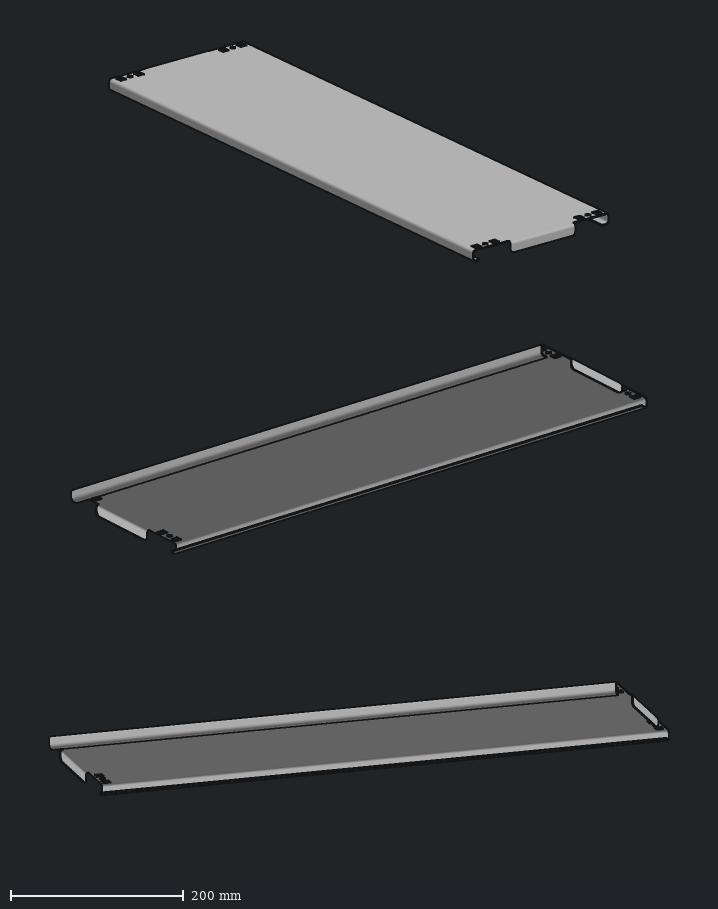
import cadquery as cq

LENGTH = 699.0
WIDTH = 200.0
HEIGHT = 15.0

THICKNESS = 1.55
BEND_RADIUS = 4.0
INNER_RADIUS = BEND_RADIUS - THICKNESS
LIP_WIDTH = 10.5

TAB_WIDTH = 95.0
TAB_CORNER_RADIUS = 5.5
PANEL_LENGTH = LENGTH - 2 * BEND_RADIUS

HOLE_INSET = 8.5
SQUARE_SIZE = 8.5
OUTER_SQUARE_Y = 88.0
INNER_SQUARE_Y = 62.0
ROUND_HOLE_Y = (OUTER_SQUARE_Y + INNER_SQUARE_Y) / 2
ROUND_HOLE_DIAMETER = 6.0


def make_channel():
    """Panel with both long sides folded down and returned inward."""
    inner_width = WIDTH - 2 * THICKNESS
    inner_height = HEIGHT - 2 * THICKNESS
    mid_height = HEIGHT / 2
    lip_opening = WIDTH - 2 * LIP_WIDTH

    outside = (
        cq.Workplane("XY")
        .box(PANEL_LENGTH, WIDTH, HEIGHT)
        .edges("|X")
        .fillet(BEND_RADIUS)
    )
    inside = (
        cq.Workplane("XY")
        .box(PANEL_LENGTH, inner_width, inner_height)
        .edges("|X")
        .fillet(INNER_RADIUS)
    )
    opening = cq.Workplane("XY").box(PANEL_LENGTH, lip_opening, mid_height)
    opening = opening.translate((0, 0, -mid_height / 2 - THICKNESS))
    return outside.cut(inside).cut(opening).translate((0, 0, mid_height))


def make_end_tab():
    """Tab bent down from the +X end of the panel, with rounded lower corners."""
    bend_start = PANEL_LENGTH / 2
    outer_face = LENGTH / 2
    bend_bottom = HEIGHT - BEND_RADIUS
    tab = (
        cq.Workplane("XZ")
        .moveTo(bend_start, HEIGHT)
        .radiusArc((outer_face, bend_bottom), BEND_RADIUS)
        .lineTo(outer_face, 0)
        .lineTo(outer_face - THICKNESS, 0)
        .lineTo(outer_face - THICKNESS, bend_bottom)
        .radiusArc((bend_start, HEIGHT - THICKNESS), -INNER_RADIUS)
        .close()
        .extrude(TAB_WIDTH / 2, both=True)
    )
    return tab.edges("|X and <Z").fillet(TAB_CORNER_RADIUS)


def make_hole_cutters():
    """Cutters through the panel only, for the holes of all four corners."""
    hole_x = PANEL_LENGTH / 2 - HOLE_INSET
    panel_underside = cq.Workplane("XY", origin=(0, 0, HEIGHT - THICKNESS))
    corners = [(x_side, y_side) for x_side in (-1, 1) for y_side in (-1, 1)]

    square_centers = []
    round_centers = []
    for x_side, y_side in corners:
        for square_y in (OUTER_SQUARE_Y, INNER_SQUARE_Y):
            square_centers.append((x_side * hole_x, y_side * square_y))
        round_centers.append((x_side * hole_x, y_side * ROUND_HOLE_Y))

    squares = panel_underside.pushPoints(square_centers).rect(SQUARE_SIZE, SQUARE_SIZE).extrude(THICKNESS)
    rounds = panel_underside.pushPoints(round_centers).circle(ROUND_HOLE_DIAMETER / 2).extrude(THICKNESS)
    return squares.add(rounds).combine()


end_tab = make_end_tab()
result = (
    make_channel()
    .union(end_tab)
    .union(end_tab.mirror("YZ"))
    .cut(make_hole_cutters())
)